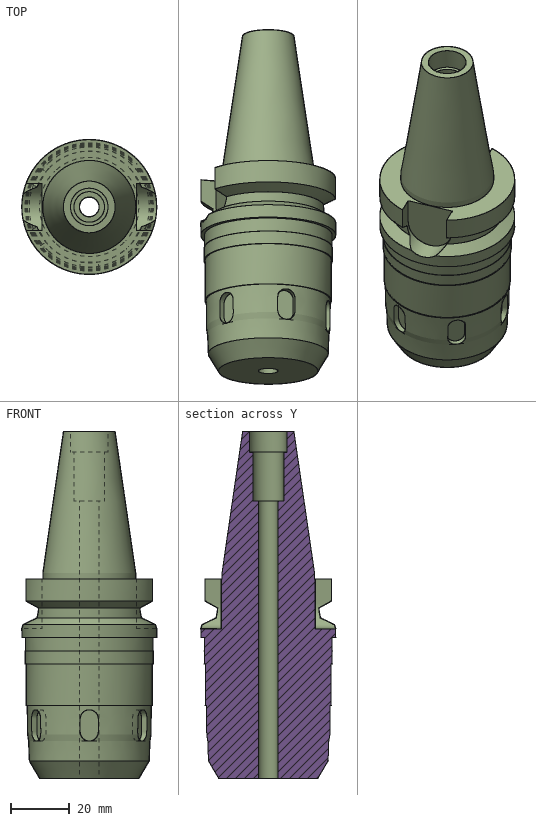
import cadquery as cq
import math

TOTAL_HEIGHT = 118.4
FLANGE_TOP = 68.1

GAUGE_RADIUS = 15.9
COLLAR_HEIGHT = 2.0
TAPER_RATIO = 7 / 24
TAPER_BASE = FLANGE_TOP + COLLAR_HEIGHT
TIP_RADIUS = GAUGE_RADIUS - (TOTAL_HEIGHT - TAPER_BASE) * TAPER_RATIO / 2

FLANGE_RADIUS = 23.03
FLANGE_BOTTOM = 48.1
GROOVE_RADIUS = 19.1
GROOVE_UPPER_EDGE = 60.5
GROOVE_UPPER_ROOT = 58.1
GROOVE_LOWER_ROOT = 54.8
GROOVE_LOWER_EDGE = 52.5

UPPER_BAND_RADIUS = 21.8
LOWER_BAND_RADIUS = 21.9
BAND_SPLIT = 43.5
BAND_BOTTOM = 39.1
BODY_RADIUS = 21.5

NUT_TOP = 24.9
NUT_TOP_RADIUS = 21.2
NUT_SHOULDER = 14.9
NUT_SHOULDER_RADIUS = 21.1
SHOULDER_BOTTOM = 12.8
NOSE_TOP_RADIUS = 20.7
NOSE_CHAMFER_TOP = 6.0
NOSE_RADIUS = 20.5
NOSE_TIP_RADIUS = 16.9

KEY_WIDTH = 16.1
KEY_FLOOR = 16.1
KEY_BOTTOM = 51.1

SLOT_COUNT = 6
SLOT_WIDTH = 6.2
SLOT_HEIGHT = 10.7
SLOT_FLOOR = 18.8

THROUGH_RADIUS = 3.3
THREAD_RADIUS = 5.2
MOUTH_RADIUS = 6.4
MOUTH_DEPTH = 7.1
THREAD_DEPTH = 23.7


def turned_body():
    profile = [
        (0, 0),
        (NOSE_TIP_RADIUS, 0),
        (NOSE_RADIUS, NOSE_CHAMFER_TOP),
        (NOSE_TOP_RADIUS, SHOULDER_BOTTOM),
        (NUT_SHOULDER_RADIUS, NUT_SHOULDER),
        (NUT_TOP_RADIUS, NUT_TOP),
        (BODY_RADIUS, NUT_TOP),
        (BODY_RADIUS, BAND_BOTTOM),
        (LOWER_BAND_RADIUS, BAND_BOTTOM),
        (LOWER_BAND_RADIUS, BAND_SPLIT),
        (UPPER_BAND_RADIUS, BAND_SPLIT),
        (UPPER_BAND_RADIUS, FLANGE_BOTTOM),
        (FLANGE_RADIUS, FLANGE_BOTTOM),
        (FLANGE_RADIUS, GROOVE_LOWER_EDGE),
        (GROOVE_RADIUS, GROOVE_LOWER_ROOT),
        (GROOVE_RADIUS, GROOVE_UPPER_ROOT),
        (FLANGE_RADIUS, GROOVE_UPPER_EDGE),
        (FLANGE_RADIUS, FLANGE_TOP),
        (GAUGE_RADIUS, FLANGE_TOP),
        (GAUGE_RADIUS, TAPER_BASE),
        (TIP_RADIUS, TOTAL_HEIGHT),
        (0, TOTAL_HEIGHT),
    ]
    return cq.Workplane("XZ").polyline(profile).close().revolve(360, (0, 0, 0), (0, 1, 0))


def keyway():
    """Round-bottomed cutter for the keyway on the +X side."""
    half_width = KEY_WIDTH / 2
    arc_center = KEY_BOTTOM + half_width
    return (
        cq.Workplane("YZ", origin=(KEY_FLOOR, 0, 0))
        .moveTo(-half_width, FLANGE_TOP)
        .lineTo(-half_width, arc_center)
        .threePointArc((0, KEY_BOTTOM), (half_width, arc_center))
        .lineTo(half_width, FLANGE_TOP)
        .close()
        .extrude(FLANGE_RADIUS)
    )


def spanner_slot(angle):
    """Flat-floored upright slot, turned about Z from the +X side."""
    return (
        cq.Workplane("YZ", origin=(SLOT_FLOOR, 0, SHOULDER_BOTTOM + SLOT_HEIGHT / 2))
        .slot2D(SLOT_HEIGHT, SLOT_WIDTH, 90)
        .extrude(FLANGE_RADIUS - SLOT_FLOOR)
        .rotate((0, 0, 0), (0, 0, 1), angle)
    )


def bore(radius, depth):
    """Cylinder running down the axis from the shank tip."""
    return cq.Workplane("XY", origin=(0, 0, TOTAL_HEIGHT)).circle(radius).extrude(-depth)


result = turned_body()

for side_angle in (0, 180):
    result = result.cut(keyway().rotate((0, 0, 0), (0, 0, 1), side_angle))

for index in range(SLOT_COUNT):
    result = result.cut(spanner_slot(30 + index * 360 / SLOT_COUNT))

for bore_radius, bore_depth in (
    (MOUTH_RADIUS, MOUTH_DEPTH),
    (THREAD_RADIUS, THREAD_DEPTH),
    (THROUGH_RADIUS, TOTAL_HEIGHT),
):
    result = result.cut(bore(bore_radius, bore_depth))